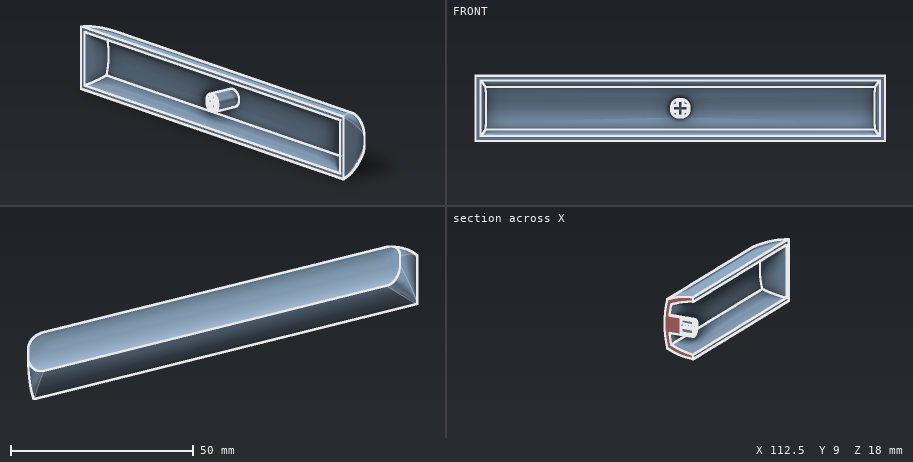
import cadquery as cq
import math

LENGTH = 112.5
HEIGHT = 9.0
WIDTH = 18.0
CROWN_RADIUS = 28.1
END_CURVE_RADIUS = 23.6
SIDE_CURVE_RADIUS = 18.6
CORNER_BASE_RADIUS = 0.2
CORNER_GROWTH = 0.55

END_RIM_WALL = 1.5
SIDE_RIM_WALL = 1.4
CROWN_WALL = 1.6
CAVITY_DRAFT = 0.12
CAVITY_END_RADIUS = 45.0
CAVITY_SIDE_RADIUS = 22.5

STEM_DIAMETER = 5.2
CROSS_SPAN = 4.0
CROSS_ARM_WIDTH = 1.2
CROSS_DEPTH = 3.9
CROSS_CHAMFER = 0.3

SECTION_COUNT = 5


def arc_inset(radius, y):
    """Inward drift of a wall arc that starts at the open face."""
    return radius - math.sqrt(radius**2 - y**2)


def section(length, width, y, corner_radius=0):
    """Rectangular wire parallel to XZ at height y, with rounded or sharp corners."""
    slab = cq.Workplane("XZ", origin=(0, y, 0)).rect(length, width).extrude(-1.1)
    if corner_radius > 0:
        slab = slab.edges("|Y").fillet(corner_radius)
    return slab.faces("<Y").val().outerWire()


def outer_block():
    """Block from y = 0 to the crown height whose four walls and rounded corners curve inward."""
    wires = []
    for index in range(SECTION_COUNT):
        y = HEIGHT * index / (SECTION_COUNT - 1)
        length = LENGTH - 2 * arc_inset(END_CURVE_RADIUS, y)
        width = WIDTH - 2 * arc_inset(SIDE_CURVE_RADIUS, y)
        wires.append(section(length, width, y, CORNER_BASE_RADIUS + CORNER_GROWTH * y))
    return cq.Workplane(cq.Solid.makeLoft(wires))


def cavity_block():
    """Sharp-cornered block from y = 0 to the crown height with drafted, gently curved walls."""
    wires = []
    for index in range(SECTION_COUNT):
        y = HEIGHT * index / (SECTION_COUNT - 1)
        end_inset = END_RIM_WALL + CAVITY_DRAFT * y + arc_inset(CAVITY_END_RADIUS, y)
        side_inset = SIDE_RIM_WALL + CAVITY_DRAFT * y + arc_inset(CAVITY_SIDE_RADIUS, y)
        wires.append(section(LENGTH - 2 * end_inset, WIDTH - 2 * side_inset, y))
    return cq.Workplane(cq.Solid.makeLoft(wires))


def crown_cylinder(radius):
    """Cylinder along X, concentric with the crown."""
    axis_y = HEIGHT - CROWN_RADIUS
    return cq.Workplane("YZ").center(axis_y, 0).circle(radius).extrude(LENGTH / 2, both=True)


def stem():
    """Round post from the open face up into the crown."""
    post_height = HEIGHT - CROWN_WALL / 2
    return cq.Workplane("XZ").circle(STEM_DIAMETER / 2).extrude(-post_height)


def cross_socket():
    """Cross-shaped cutter with a 45 degree lead-in at the open face."""
    arm = cq.Workplane("XZ").rect(CROSS_SPAN, CROSS_ARM_WIDTH).extrude(-CROSS_DEPTH)
    lead_in = (
        cq.Workplane("XZ")
        .rect(CROSS_SPAN + 2 * CROSS_CHAMFER, CROSS_ARM_WIDTH + 2 * CROSS_CHAMFER)
        .extrude(-CROSS_CHAMFER, taper=45)
    )
    arm = arm.union(lead_in)
    return arm.union(arm.rotate((0, 0, 0), (0, 1, 0), 90))


outer = outer_block().intersect(crown_cylinder(CROWN_RADIUS))
cavity = cavity_block().intersect(crown_cylinder(CROWN_RADIUS - CROWN_WALL))

result = outer.cut(cavity).union(stem()).cut(cross_socket())